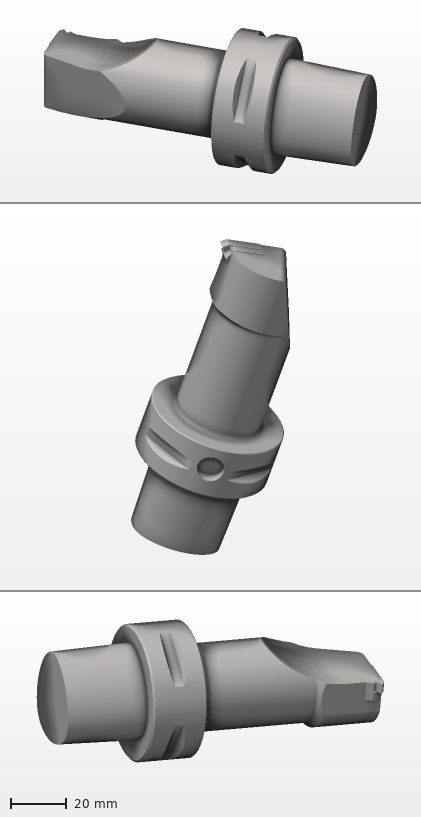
import cadquery as cq
import math

OVERALL_LENGTH = 120.0

SHANK_DIAMETER = 32.0
SHANK_RADIUS = SHANK_DIAMETER / 2
FLANGE_DIAMETER = 50.0
FLANGE_RADIUS = FLANGE_DIAMETER / 2
FLANGE_START = 69.8
FLANGE_END = 90.2
FLANGE_FRONT_CHAMFER = 0.4
FLANGE_BACK_CHAMFER = 0.7
NECK_FILLET = 1.8

NOTCH_COUNT = 4
NOTCH_FIRST_ANGLE = 45.0
NOTCH_CENTER_X = 79.9
NOTCH_FLOOR_DISTANCE = 22.1
NOTCH_FLOOR_WIDTH = 3.5
NOTCH_MOUTH_WIDTH = 6.8

POCKET_DIAMETER = 10.0
POCKET_CENTER_X = 78.6
POCKET_DEPTH = 4.5

COUPLING_RADIUS = 17.6
COUPLING_TAPER = 0.8
LOBE_HEIGHT = 1.0
LOBED_POINTS = 36

HEAD_FRONT = 0.4
HEAD_END = 24.7
HEAD_RADIUS = 17.0
HEAD_CENTER_Y = 1.7
HEAD_CENTER_Z = -0.5
HEAD_SIDE_FLAT = 17.5

RELIEF_ANGLE = 20.0
RELIEF_END = 35.0
FRONT_CORNER_RADIUS = 3.0

RAKE_ANGLE = 14.0
RAKE_HEIGHT = 6.0

FLUTE_CENTER_X = -14.4
FLUTE_CENTER_ACROSS = 0.7
FLUTE_FLOOR_RADIUS = 32.4
FLUTE_RIM_RADIUS = 30.6
FLUTE_DEPTH = 21.6

INSERT_HALF_ANGLE = 30.0
INSERT_APEX_X = 14.2
INSERT_APEX_ACROSS = 13.2
INSERT_TOP_THICKNESS = 3.8
INSERT_BOTTOM_THICKNESS = 3.1
INSERT_BOTTOM_SETBACK = 0.1
BLUNT_FRONT_ACROSS = 16.5
SHOULDER_X = 4.1
TOOTH_ROOT_END = (3.5, 17.8)
TOOTH_ROOT_START = (2.9, 17.9)
TOOTH_TIP = (1.3, 20.4)
TOOTH_FRONT_ACROSS = 18.2

CUT_MARGIN = 12.0


def rake_plane(x=0.0, across=0.0, normal_offset=0.0):
    """Workplane on the rake face: local x is X, local y runs across, towards +Y."""
    tilt = math.radians(RAKE_ANGLE)
    normal = RAKE_HEIGHT * math.cos(tilt) + normal_offset
    origin = (
        x,
        across * math.cos(tilt) + normal * math.sin(tilt),
        -across * math.sin(tilt) + normal * math.cos(tilt),
    )
    return cq.Plane(origin=origin, xDir=(1, 0, 0), normal=(0, math.sin(tilt), math.cos(tilt)))


def make_shank_and_flange():
    neck_start = FLANGE_START - NECK_FILLET
    arc_reach = NECK_FILLET * math.sqrt(0.5)
    profile = (
        cq.Workplane("XY")
        .moveTo(HEAD_FRONT, 0)
        .lineTo(HEAD_FRONT, SHANK_RADIUS)
        .lineTo(neck_start, SHANK_RADIUS)
        .threePointArc(
            (neck_start + arc_reach, SHANK_RADIUS + NECK_FILLET - arc_reach),
            (FLANGE_START, SHANK_RADIUS + NECK_FILLET),
        )
        .lineTo(FLANGE_START, FLANGE_RADIUS - FLANGE_FRONT_CHAMFER)
        .lineTo(FLANGE_START + FLANGE_FRONT_CHAMFER, FLANGE_RADIUS)
        .lineTo(FLANGE_END - FLANGE_BACK_CHAMFER, FLANGE_RADIUS)
        .lineTo(FLANGE_END, FLANGE_RADIUS - FLANGE_BACK_CHAMFER)
        .lineTo(FLANGE_END, 0)
        .close()
    )
    return profile.revolve(360, (0, 0, 0), (1, 0, 0))


def make_notch(angle):
    """Trapezoidal cutter across the flange, turned about X to the given angle."""
    half_floor = NOTCH_FLOOR_WIDTH / 2
    half_mouth = NOTCH_MOUTH_WIDTH / 2
    return (
        cq.Workplane("XZ", origin=(NOTCH_CENTER_X, 0, 0))
        .moveTo(-half_floor, NOTCH_FLOOR_DISTANCE)
        .lineTo(half_floor, NOTCH_FLOOR_DISTANCE)
        .lineTo(half_mouth, FLANGE_RADIUS)
        .lineTo(-half_mouth, FLANGE_RADIUS)
        .close()
        .extrude(FLANGE_RADIUS, both=True)
        .rotate((0, 0, 0), (1, 0, 0), angle)
    )


def make_pocket():
    return (
        cq.Workplane("XY", origin=(POCKET_CENTER_X, 0, -FLANGE_RADIUS))
        .circle(POCKET_DIAMETER / 2)
        .extrude(POCKET_DEPTH)
    )


def lobed_point(fraction, mean_radius):
    """Point (Y, Z) of a three-lobed curve of constant width, one lobe towards +Z."""
    angle = 2 * math.pi * fraction
    reach = mean_radius + LOBE_HEIGHT * math.cos(3 * angle)
    slope = -3 * LOBE_HEIGHT * math.sin(3 * angle)
    y = reach * math.sin(angle) + slope * math.cos(angle)
    z = reach * math.cos(angle) - slope * math.sin(angle)
    return y, z


def lobed_wire(x, mean_radius):
    points = [cq.Vector(x, *lobed_point(i / LOBED_POINTS, mean_radius)) for i in range(LOBED_POINTS)]
    return cq.Wire.assembleEdges([cq.Edge.makeSpline(points, periodic=True)])


def make_coupling():
    base = lobed_wire(FLANGE_END, COUPLING_RADIUS)
    tip = lobed_wire(OVERALL_LENGTH, COUPLING_RADIUS - COUPLING_TAPER)
    return cq.Workplane(cq.Solid.makeLoft([base, tip], True))


def make_head():
    """Eccentric cylinder with a tilted side flat and a 45 degree cone at its back."""
    cylinder = (
        cq.Workplane("YZ", origin=(HEAD_FRONT, 0, 0))
        .center(HEAD_CENTER_Y, HEAD_CENTER_Z)
        .circle(HEAD_RADIUS)
        .extrude(HEAD_END - HEAD_FRONT)
    )
    back_cone = (
        cq.Workplane("XY")
        .moveTo(HEAD_FRONT, 0)
        .lineTo(HEAD_END, 0)
        .lineTo(HEAD_END, SHANK_RADIUS)
        .lineTo(HEAD_FRONT, SHANK_RADIUS + HEAD_END - HEAD_FRONT)
        .close()
        .revolve(360, (0, 0, 0), (1, 0, 0))
    )
    side_cut = (
        cq.Workplane(rake_plane())
        .moveTo(0, HEAD_SIDE_FLAT)
        .rect(HEAD_END, CUT_MARGIN, centered=False)
        .extrude(2 * HEAD_RADIUS, both=True)
    )
    return cylinder.intersect(back_cone).cut(side_cut)


def make_relief():
    """Cutter for the slanted -Y face and the rounded front edge."""
    relief = math.radians(RELIEF_ANGLE)
    corner_turn = math.pi / 2 - relief
    tangent_length = FRONT_CORNER_RADIUS * math.tan(corner_turn / 2)
    corner_y = -SHANK_RADIUS + (RELIEF_END - HEAD_FRONT) * math.tan(relief)
    arc_center = (HEAD_FRONT + FRONT_CORNER_RADIUS, corner_y + tangent_length)
    arc_start = (HEAD_FRONT, arc_center[1])
    middle_turn = corner_turn / 2
    arc_middle = (
        arc_center[0] - FRONT_CORNER_RADIUS * math.cos(middle_turn),
        arc_center[1] - FRONT_CORNER_RADIUS * math.sin(middle_turn),
    )
    arc_end = (
        arc_center[0] - FRONT_CORNER_RADIUS * math.cos(corner_turn),
        arc_center[1] - FRONT_CORNER_RADIUS * math.sin(corner_turn),
    )
    outer_y = -SHANK_RADIUS - CUT_MARGIN
    return (
        cq.Workplane("XY")
        .moveTo(*arc_start)
        .threePointArc(arc_middle, arc_end)
        .lineTo(RELIEF_END, -SHANK_RADIUS)
        .lineTo(RELIEF_END, outer_y)
        .lineTo(HEAD_FRONT - CUT_MARGIN, outer_y)
        .lineTo(HEAD_FRONT - CUT_MARGIN, arc_start[1])
        .close()
        .extrude(2 * SHANK_RADIUS, both=True)
    )


def make_flute():
    """Disc-shaped cutter standing on the rake plane, with a concave rising rim."""
    def rim_reach(height):
        drop = FLUTE_RIM_RADIUS - height
        return FLUTE_FLOOR_RADIUS + math.sqrt(FLUTE_RIM_RADIUS**2 - drop**2)

    plane = rake_plane(FLUTE_CENTER_X, FLUTE_CENTER_ACROSS)
    section = cq.Plane(origin=plane.origin, xDir=plane.xDir, normal=-plane.yDir)
    return (
        cq.Workplane(section)
        .lineTo(FLUTE_FLOOR_RADIUS, 0)
        .threePointArc(
            (rim_reach(FLUTE_DEPTH / 2), FLUTE_DEPTH / 2),
            (rim_reach(FLUTE_DEPTH), FLUTE_DEPTH),
        )
        .lineTo(0, FLUTE_DEPTH)
        .close()
        .revolve(360, (0, 0, 0), (0, 1, 0))
    )


def make_insert():
    """Equilateral insert with a thread tooth, standing square to the rake plane."""
    slope = math.tan(math.radians(INSERT_HALF_ANGLE))
    apex = (INSERT_APEX_X, INSERT_APEX_ACROSS)
    lower_corner = (0, INSERT_APEX_ACROSS - INSERT_APEX_X * slope)
    shoulder = (SHOULDER_X, INSERT_APEX_ACROSS + (INSERT_APEX_X - SHOULDER_X) * slope)
    tooth_front = (0, TOOTH_FRONT_ACROSS)
    top_outline = [lower_corner, apex, shoulder, TOOTH_ROOT_END, TOOTH_ROOT_START, TOOTH_TIP, tooth_front]
    bottom_corner = (INSERT_BOTTOM_SETBACK, lower_corner[1] + INSERT_BOTTOM_SETBACK * slope)
    blunt_corner = (INSERT_BOTTOM_SETBACK, BLUNT_FRONT_ACROSS)
    bottom_outline = [bottom_corner, apex, shoulder, blunt_corner]
    top = cq.Workplane(rake_plane()).polyline(top_outline).close().extrude(-INSERT_TOP_THICKNESS)
    bottom = (
        cq.Workplane(rake_plane(normal_offset=-INSERT_TOP_THICKNESS))
        .polyline(bottom_outline)
        .close()
        .extrude(-INSERT_BOTTOM_THICKNESS)
    )
    return top.union(bottom)


def make_holder(seated_insert):
    holder = make_shank_and_flange().union(make_head()).union(make_coupling())
    for index in range(NOTCH_COUNT):
        holder = holder.cut(make_notch(NOTCH_FIRST_ANGLE + index * 360 / NOTCH_COUNT))
    return holder.cut(make_pocket()).cut(make_relief()).cut(make_flute()).cut(seated_insert)


insert = make_insert()
holder = make_holder(insert)
result = cq.Compound.makeCompound([holder.val(), insert.val()])